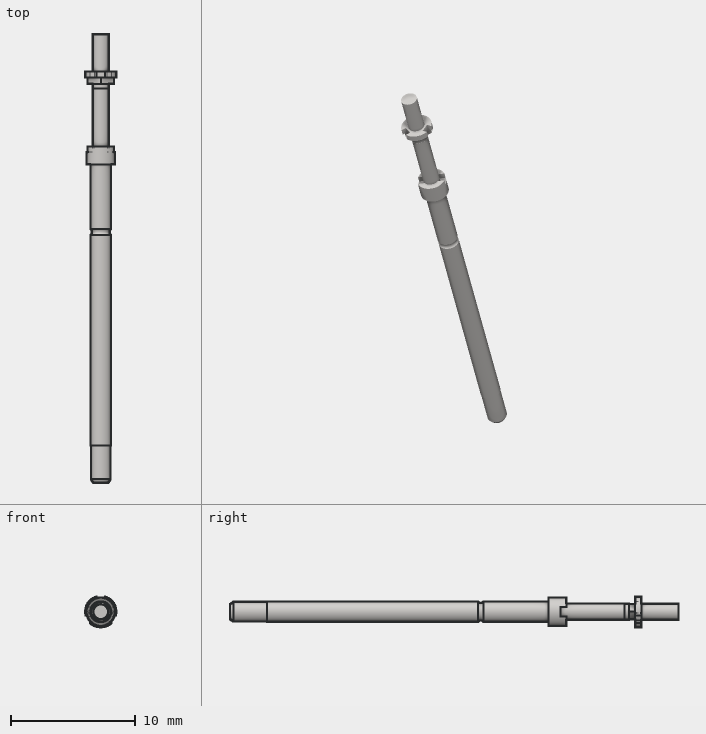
import cadquery as cq
import math

LENGTH = 36.0
TAIL_PLUG_END = 3.0
GROOVE_START = 19.9
COLLAR_START = 25.55
COLLAR_LENGTH = 1.45
NECK_START = 31.65
BLADE_START = 32.0
HEAD_START = 32.5
HEAD_THICKNESS = 0.5

BARREL_DIAMETER = 1.65
TAIL_DIAMETER = 1.6
COLLAR_DIAMETER = 2.3
PLUNGER_DIAMETER = 1.32
TIP_DIAMETER = 1.3
HEAD_DIAMETER = 2.5

TAIL_CHAMFER_LENGTH = 0.3
TAIL_CHAMFER_HEIGHT = 0.2

GROOVE_WIDTH = 0.45
GROOVE_DEPTH = 0.12

NOTCH_WIDTH = 0.78
NOTCH_LENGTH = 0.47

SLOT_COUNT = 3
SLOT_WIDTH = 0.7
SLOT_FLOOR_RADIUS = 0.8
FIRST_SLOT_ANGLE = 90.0

BLADE_WIDTH = 2.16
BLADE_CORNER_ANGLE = 60.0

collar_end = COLLAR_START + COLLAR_LENGTH
head_end = HEAD_START + HEAD_THICKNESS


def xz_plane(y):
    """Sketch plane across the shaft at the given station, facing +Y with Z up."""
    return cq.Workplane(cq.Plane(origin=(0, y, 0), xDir=(-1, 0, 0), normal=(0, 1, 0)))


def cylinder(diameter, start, end):
    return xz_plane(start).circle(diameter / 2).extrude(end - start)


def round_groove():
    """Ring-shaped cutter whose inner side is an arc bulging toward the axis."""
    radius = BARREL_DIAMETER / 2
    groove_end = GROOVE_START + GROOVE_WIDTH
    groove_middle = (GROOVE_START + groove_end) / 2
    return (
        cq.Workplane("XY")
        .moveTo(radius, GROOVE_START)
        .threePointArc((radius - GROOVE_DEPTH, groove_middle), (radius, groove_end))
        .lineTo(COLLAR_DIAMETER / 2, groove_end)
        .lineTo(COLLAR_DIAMETER / 2, GROOVE_START)
        .close()
        .revolve(360, (0, 0, 0), (0, 1, 0))
    )


def barrel():
    straight_tail = cylinder(TAIL_DIAMETER, TAIL_CHAMFER_LENGTH, TAIL_PLUG_END)
    tapered_tail = (
        xz_plane(0)
        .circle(TAIL_DIAMETER / 2 - TAIL_CHAMFER_HEIGHT)
        .workplane(offset=TAIL_CHAMFER_LENGTH)
        .circle(TAIL_DIAMETER / 2)
        .loft()
    )
    sleeve = cylinder(BARREL_DIAMETER, TAIL_PLUG_END, COLLAR_START)
    return straight_tail.union(tapered_tail).union(sleeve).cut(round_groove())


def collar():
    body = cylinder(COLLAR_DIAMETER, COLLAR_START, collar_end)
    notch_start = collar_end - NOTCH_LENGTH
    notch = xz_plane(notch_start).rect(COLLAR_DIAMETER, NOTCH_WIDTH).extrude(NOTCH_LENGTH)
    return body.cut(notch)


def plunger():
    return cylinder(PLUNGER_DIAMETER, COLLAR_START, NECK_START).union(
        cylinder(TIP_DIAMETER, NECK_START, BLADE_START)
    )


def blade():
    half_width = BLADE_WIDTH / 2
    half_height = half_width * math.tan(math.radians(BLADE_CORNER_ANGLE / 2))
    corners = [(half_width, 0), (0, half_height), (-half_width, 0), (0, -half_height)]
    return xz_plane(BLADE_START).polyline(corners).close().extrude(HEAD_START - BLADE_START)


def slotted_head():
    head = cylinder(HEAD_DIAMETER, HEAD_START, head_end)
    cutter_depth = HEAD_DIAMETER / 2
    slot = (
        xz_plane(HEAD_START)
        .center(SLOT_FLOOR_RADIUS + cutter_depth / 2, 0)
        .rect(cutter_depth, SLOT_WIDTH)
        .extrude(HEAD_THICKNESS)
    )
    for index in range(SLOT_COUNT):
        angle = FIRST_SLOT_ANGLE + index * 360 / SLOT_COUNT
        head = head.cut(slot.rotate((0, 0, 0), (0, 1, 0), angle))
    return head


def tip():
    return cylinder(TIP_DIAMETER, head_end, LENGTH)


result = barrel()
for section in (collar(), plunger(), blade(), slotted_head(), tip()):
    result = result.union(section)